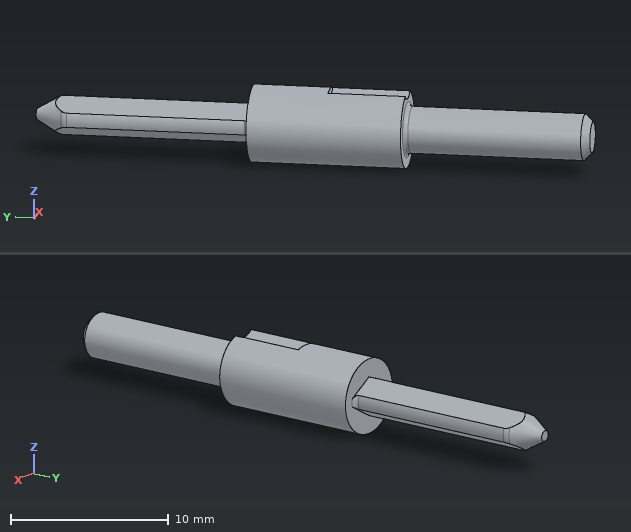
import cadquery as cq
import math

total_length = 36.0
shaft_length = 12.0
collar_length = 10.0
groove_length = collar_length / 2

collar_radius = 5.0 / 2
pin_radius = 1.5
shaft_chamfer = 0.5
root_fillet = 0.3

tip_radius = 0.35
cone_half_angle = 30.0
shoulder_fillet = 0.75
ridge_height = 1.3
flat_slope = 30.0

groove_radius = 1.2
groove_floor = 2.0

shaft_end = -total_length / 2
collar_start = shaft_end + shaft_length
collar_end = collar_start + collar_length
tip_end = total_length / 2
cone_length = (pin_radius - tip_radius) / math.tan(math.radians(cone_half_angle))
shoulder = tip_end - cone_length


def arc_middle(center, radius, angle):
    """Point on an arc at the given angle in degrees from the radial direction."""
    turn = math.radians(angle)
    return (center[0] + radius * math.cos(turn), center[1] + radius * math.sin(turn))


def turned_pin():
    """Revolve the half profile, drawn as (radius, Y), about the Y axis."""
    root_radius = pin_radius + root_fillet
    shaft_root_center = (root_radius, collar_start - root_fillet)
    blade_root_center = (root_radius, collar_end + root_fillet)

    tangent_length = shoulder_fillet * math.tan(math.radians(cone_half_angle / 2))
    shoulder_center = (pin_radius - shoulder_fillet, shoulder - tangent_length)

    profile = (
        cq.Workplane("XY")
        .moveTo(0, shaft_end)
        .lineTo(pin_radius - shaft_chamfer, shaft_end)
        .lineTo(pin_radius, shaft_end + shaft_chamfer)
        .lineTo(pin_radius, collar_start - root_fillet)
        .threePointArc(arc_middle(shaft_root_center, root_fillet, 135), (root_radius, collar_start))
        .lineTo(collar_radius, collar_start)
        .lineTo(collar_radius, collar_end)
        .lineTo(root_radius, collar_end)
        .threePointArc(
            arc_middle(blade_root_center, root_fillet, 225),
            (pin_radius, collar_end + root_fillet),
        )
        .lineTo(pin_radius, shoulder_center[1])
        .threePointArc(
            arc_middle(shoulder_center, shoulder_fillet, cone_half_angle / 2),
            arc_middle(shoulder_center, shoulder_fillet, cone_half_angle),
        )
        .lineTo(tip_radius, tip_end)
        .lineTo(0, tip_end)
        .close()
    )
    return profile.revolve(360, (0, 0, 0), (0, 1, 0))


def blade_flats():
    """Material outside the four blade flats, from the collar to the tip."""
    ridge_reach = ridge_height / math.tan(math.radians(flat_slope))
    blade_length = tip_end - collar_end
    blade_plane = cq.Workplane("XZ", origin=(0, tip_end, 0))
    surround = blade_plane.circle(collar_radius).extrude(blade_length)
    corners = [(0, ridge_height), (ridge_reach, 0), (0, -ridge_height), (-ridge_reach, 0)]
    return surround.cut(blade_plane.polyline(corners).close().extrude(blade_length))


def collar_groove():
    """Cylinder that cuts the groove, open at the shaft end of the collar."""
    return (
        cq.Workplane("XZ", origin=(0, collar_start + groove_length, 0))
        .center(0, groove_floor + groove_radius)
        .circle(groove_radius)
        .extrude(groove_length)
    )


result = turned_pin().cut(blade_flats()).cut(collar_groove())